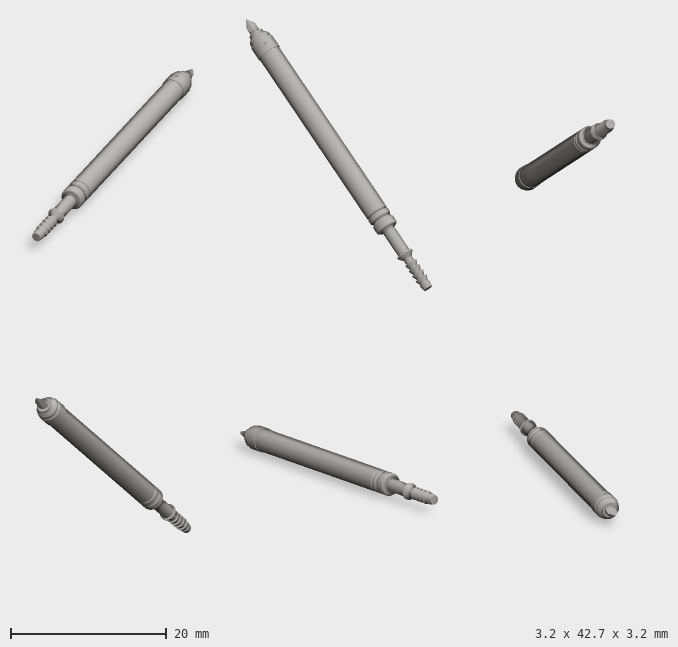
import cadquery as cq

total_length = 42.7
tip_y = total_length / 2
tail_y = -total_length / 2

tip_base_y = 19.1
tip_radius = 0.7
tip_half_width = 1.45
tip_half_height = 0.65

nose_radius = 1.0
nose_back_y = 18.8
nose_cone_end_y = 18.28
neck_radius = 1.45
neck_back_y = 17.85
collar_diameter = 3.2
collar_radius = collar_diameter / 2
collar_front_y = 17.65
collar_back_y = 15.93
dimple_y = 16.85
dimple_diameter = 0.4
dimple_depth = 0.13

barrel_radius = 1.5
barrel_back_y = -11.9
barrel_end_round = 0.3
front_groove_y = -9.52
front_groove_radius = 1.32
front_groove_half_width = 0.15
rear_groove_y = -10.45
rear_groove_radius = 1.25
rear_groove_front_width = 0.25
rear_groove_back_width = 0.4

shoulder_radius = 1.02
shoulder_length = 0.13
rod_radius = 0.85
flange_radius = 1.1
flange_front_y = -15.85
flange_thickness = 0.15
flange_cone_end_y = -16.6
tail_radius = 0.6
barb_radius = 0.85
end_barb_radius = 0.73
barb_length = 0.6
barb_count = 4
barb_pitch = 0.8
first_barb_y = -17.35


def turned(points):
    """Revolve (radius, y) points about the Y axis, closing the outline along the axis."""
    outline = [(0, points[0][1])] + points + [(0, points[-1][1])]
    return cq.Workplane("XY").polyline(outline).close().revolve(360, (0, 0), (0, 1))


def plunger_tip():
    rhombus = [
        (tip_half_width, 0),
        (0, tip_half_height),
        (-tip_half_width, 0),
        (0, -tip_half_height),
    ]
    corners = [cq.Vector(x, tip_base_y, z) for x, z in rhombus]
    apex = cq.Vector(0, tip_y, 0)
    faces = [cq.Face.makeFromWires(cq.Wire.makePolygon(corners, close=True))]
    for start, end in zip(corners, corners[1:] + corners[:1]):
        faces.append(cq.Face.makeFromWires(cq.Wire.makePolygon([start, end, apex], close=True)))
    pyramid = cq.Solid.makeSolid(cq.Shell.makeShell(faces))
    bar = cq.Workplane("XZ", origin=(0, tip_y, 0)).circle(tip_radius).extrude(tip_y - tip_base_y)
    return bar.intersect(cq.Workplane(obj=pyramid))


def head():
    body = turned([
        (nose_radius, tip_base_y),
        (nose_radius, nose_back_y),
        (neck_radius, nose_cone_end_y),
        (neck_radius, neck_back_y),
        (collar_radius, collar_front_y),
        (collar_radius, collar_back_y),
    ])
    dimple = (
        cq.Workplane("XY", origin=(0, dimple_y, collar_radius - dimple_depth))
        .circle(dimple_diameter / 2)
        .extrude(2 * dimple_depth)
    )
    return body.cut(dimple)


def barrel():
    body = turned([
        (barrel_radius, collar_back_y),
        (barrel_radius, front_groove_y + front_groove_half_width),
        (front_groove_radius, front_groove_y),
        (barrel_radius, front_groove_y - front_groove_half_width),
        (barrel_radius, rear_groove_y + rear_groove_front_width),
        (rear_groove_radius, rear_groove_y),
        (barrel_radius, rear_groove_y - rear_groove_back_width),
        (barrel_radius, barrel_back_y),
    ])
    return body.faces("<Y").edges().fillet(barrel_end_round)


def rod_and_tail():
    points = [
        (shoulder_radius, barrel_back_y),
        (shoulder_radius, barrel_back_y - shoulder_length),
        (rod_radius, barrel_back_y - shoulder_length),
        (rod_radius, flange_front_y),
        (flange_radius, flange_front_y),
        (flange_radius, flange_front_y - flange_thickness),
        (tail_radius, flange_cone_end_y),
    ]
    for i in range(barb_count):
        barb_y = first_barb_y - i * barb_pitch
        points += [
            (tail_radius, barb_y),
            (barb_radius, barb_y),
            (tail_radius, barb_y - barb_length),
        ]
    end_barb_y = first_barb_y - barb_count * barb_pitch
    points += [
        (tail_radius, end_barb_y),
        (end_barb_radius, end_barb_y),
        (tail_radius, tail_y),
    ]
    return turned(points)


result = plunger_tip().union(head()).union(barrel()).union(rod_and_tail())